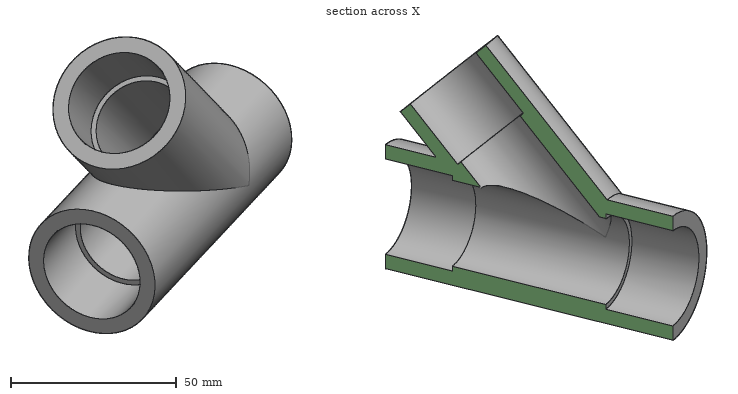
import cadquery as cq
import math

run_length = 99.5
outer_diameter = 42.0
bore_diameter = 28.9
socket_diameter = 32.0
socket_depth = 23.2
branch_angle = 45.0
branch_length = 68.1
crossing_y = 18.3

lean = math.radians(branch_angle)
branch_direction = cq.Vector(0, -math.cos(lean), math.sin(lean))
run_direction = cq.Vector(0, 1, 0)
crossing = cq.Vector(0, crossing_y, 0)
branch_mouth = crossing + branch_direction * branch_length
front_mouth = run_direction * (-run_length / 2)
back_mouth = run_direction * (run_length / 2)


def cylinder(diameter, length, start, direction):
    return cq.Workplane(cq.Solid.makeCylinder(diameter / 2, length, start, direction))


def run_and_branch(diameter):
    """Full-length run cylinder joined to the branch cylinder."""
    run = cylinder(diameter, run_length, front_mouth, run_direction)
    branch = cylinder(diameter, branch_length, crossing, branch_direction)
    return run.union(branch)


def socket(mouth, inward):
    return cylinder(socket_diameter, socket_depth, mouth, inward)


result = run_and_branch(outer_diameter).cut(run_and_branch(bore_diameter))

mouths = [
    (front_mouth, run_direction),
    (back_mouth, run_direction * -1),
    (branch_mouth, branch_direction * -1),
]
for mouth, inward in mouths:
    result = result.cut(socket(mouth, inward))